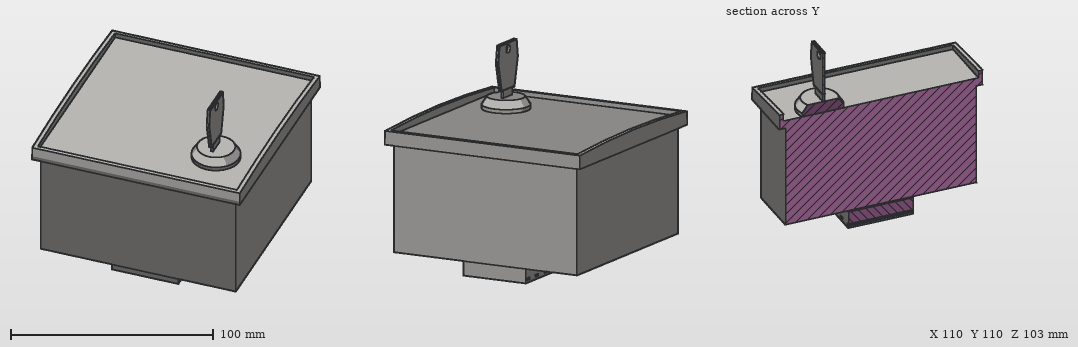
import cadquery as cq

block_length_x = 35.2
block_length_y = 84.7
block_height = 9.5
block_gap = 0.4
slot_count = 10
slot_row_length = 78.6
slot_pitch = slot_row_length / (slot_count - 1)
slot_width = 2.4
slot_height = 1.0
slot_center_z = 1.9

frame_size = 110.0
box_size = 103.4
box_bottom_z = block_height + block_gap
frame_bottom_z = 64.8
draft_start_z = 66.8
rim_end_z = 71.7
rim_crown = 1.9
draft_inset = 0.2
rim_width = 2.3
panel_z = 69.4

lock_x = 31.4
lock_y = -26.2
lock_diameter = 24.3
lock_top_diameter = 18.9
lock_shoulder_z = 71.4
lock_top_z = 75.5

key_x = 30.9
key_thickness = 1.5
key_top_z = 103.0
key_widest_z = 93.9
key_grip_bottom_z = 79.0
key_top_width = 18.0
key_widest_width = 20.7
key_grip_bottom_width = 13.6
key_stem_width = 9.1
key_corner_radius = 0.9
key_pad_height = 0.16
key_pad_inset = 0.4
key_hole_diameter = 4.0
key_hole_z = 99.5


def make_housing():
    """Box and drafted frame in one piece, with an arched rim around a flat panel."""
    box = cq.Workplane("XY", origin=(0, 0, box_bottom_z)).rect(box_size, box_size)
    box = box.extrude(frame_bottom_z - box_bottom_z)

    half = frame_size / 2
    half_top = half - draft_inset
    frame = (
        cq.Workplane("YZ", origin=(-half, 0, 0))
        .moveTo(-half, frame_bottom_z)
        .lineTo(half, frame_bottom_z)
        .lineTo(half, draft_start_z)
        .lineTo(half_top, rim_end_z)
        .threePointArc((0, rim_end_z + rim_crown), (-half_top, rim_end_z))
        .lineTo(-half, draft_start_z)
        .close()
        .extrude(frame_size)
    )

    opening = frame_size - 2 * rim_width
    recess_depth = rim_end_z + rim_crown - panel_z
    recess = cq.Workplane("XY", origin=(0, 0, panel_z)).rect(opening, opening).extrude(recess_depth)
    return box.union(frame).cut(recess)


def make_terminal_block():
    """Plain block under the box, with a row of slots passing through along X."""
    block = cq.Workplane("XY").rect(block_length_x, block_length_y).extrude(block_height)
    slots = (
        cq.Workplane("YZ", origin=(-block_length_x / 2, 0, slot_center_z))
        .rarray(slot_pitch, 1.1, slot_count, 1)
        .rect(slot_width, slot_height)
        .extrude(block_length_x)
    )
    return block.cut(slots)


def make_lock():
    """Short cylinder standing on the panel, topped by a cone."""
    radius = lock_diameter / 2
    return (
        cq.Workplane("XZ", origin=(lock_x, lock_y, 0))
        .moveTo(0, panel_z)
        .lineTo(radius, panel_z)
        .lineTo(radius, lock_shoulder_z)
        .lineTo(lock_top_diameter / 2, lock_top_z)
        .lineTo(0, lock_top_z)
        .close()
        .revolve(360, (0, 0, 0), (0, 1, 0))
    )


def make_grip_plate(left_x, thickness, inset):
    """Tapered plate with rounded corners, its outline pulled in by the inset."""
    plate = (
        cq.Workplane("YZ", origin=(left_x, lock_y, 0))
        .moveTo(-key_grip_bottom_width / 2, key_grip_bottom_z)
        .lineTo(key_grip_bottom_width / 2, key_grip_bottom_z)
        .lineTo(key_widest_width / 2, key_widest_z)
        .lineTo(key_top_width / 2, key_top_z)
        .lineTo(-key_top_width / 2, key_top_z)
        .lineTo(-key_widest_width / 2, key_widest_z)
        .close()
    )
    if inset > 0:
        plate = plate.offset2D(-inset)
    return plate.extrude(thickness).edges("|X").fillet(key_corner_radius)


def make_key():
    """Flat stem and grip with a raised pad on both faces of the grip and a round hole."""
    pad_x = key_x - key_thickness / 2
    plate_x = pad_x + key_pad_height
    plate_thickness = key_thickness - 2 * key_pad_height
    plate = make_grip_plate(plate_x, plate_thickness, 0)
    pads = make_grip_plate(pad_x, key_thickness, key_pad_inset)

    stem_height = key_grip_bottom_z - lock_top_z
    stem = (
        cq.Workplane("YZ", origin=(plate_x, lock_y, lock_top_z + stem_height / 2))
        .rect(key_stem_width, stem_height)
        .extrude(plate_thickness)
    )
    hole = (
        cq.Workplane("YZ", origin=(pad_x, lock_y, key_hole_z))
        .circle(key_hole_diameter / 2)
        .extrude(key_thickness)
    )
    return plate.union(pads).union(stem).cut(hole)


housing = make_housing()
terminal_block = make_terminal_block()
lock = make_lock()
key = make_key()

result = cq.Compound.makeCompound([housing.val(), terminal_block.val(), lock.val(), key.val()])